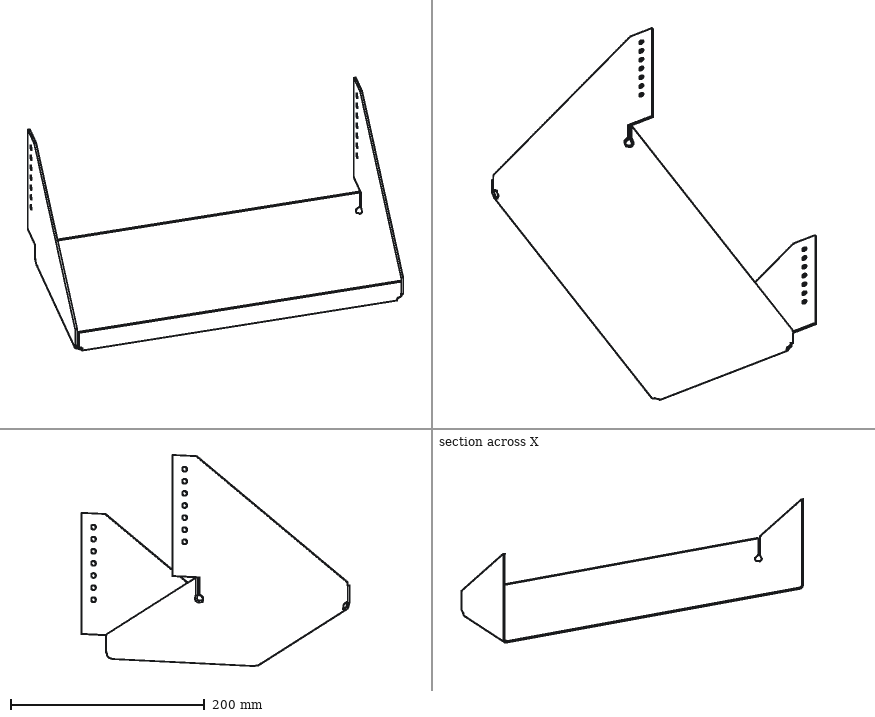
import cadquery as cq
import math

length_x = 190.5
width_y = 351.03
height_z = 152.4

thickness = 2.28
inner_radius = thickness
outer_radius = thickness + inner_radius
neutral_factor = 0.44

lip_height = 25.4
tab_length = 25.4
plate_end_height = 28.0
corner_gap = 0.95

hole_diameter = 5.11
hole_count = 7
hole_pitch = 12.7
hole_edge_x = tab_length / 2
top_hole_drop = 14.3

relief_radius = 5.3
half_bend_length = math.pi / 4 * (inner_radius + neutral_factor * thickness)
relief_centre = outer_radius - half_bend_length
relief_bend_reach = relief_centre + relief_radius

tray_left = tab_length
tray_right = length_x
tray_length = tray_right - tray_left
tray_centre_x = (tray_left + tray_right) / 2
half_width = width_y / 2
wall_setback = thickness + corner_gap


def turn_to_plate(shape):
    """Swap X and Y, so a wall facing -X becomes a wall facing -Y."""
    return shape.rotate((0, 0, 0), (0, 0, 1), 90).mirror("YZ")


def bent_wall(run, wall_height):
    """Quarter bend and upright wall with its outer face on x = 0, running along Y and centred."""
    profile = (
        cq.Workplane("XZ")
        .moveTo(outer_radius, 0)
        .radiusArc((0, outer_radius), outer_radius)
        .lineTo(0, wall_height)
        .lineTo(thickness, wall_height)
        .lineTo(thickness, outer_radius)
        .radiusArc((outer_radius, thickness), -inner_radius)
        .close()
    )
    return profile.extrude(run / 2, both=True)


def relief_cutter():
    """Corner relief for a wall on x = 0 that ends at y = 0: square through the bend, round in the wall."""
    bend_cut = cq.Workplane("XY").box(outer_radius, relief_bend_reach, outer_radius, centered=False)
    wall_cut = (
        cq.Workplane("YZ")
        .center(relief_centre, relief_centre)
        .circle(relief_radius)
        .extrude(thickness)
    )
    return bend_cut.union(wall_cut)


def floor():
    """Flat floor between the bend lines, with the relief circles cut from its corners."""
    plate = cq.Workplane("XY").box(
        tray_length - 2 * outer_radius,
        width_y - 2 * outer_radius,
        thickness,
        centered=(True, True, False),
    )
    reliefs = (
        cq.Workplane("XY")
        .rect(tray_length - 2 * relief_centre, width_y - 2 * relief_centre, forConstruction=True)
        .vertices()
        .circle(relief_radius)
        .extrude(thickness)
    )
    return plate.cut(reliefs).translate((tray_centre_x, 0, 0))


def long_lip():
    """Lip along Y with its outer face on x = 0, relieved at both ends."""
    lip = bent_wall(width_y - 2 * wall_setback, lip_height)
    relief = relief_cutter().translate((0, -half_width, 0))
    return lip.cut(relief).cut(relief.mirror("XZ"))


def plate_blank():
    """Side plate outline in XZ, extruded toward +Y over the depth of the bend."""
    plate_left = tray_left + wall_setback
    plate_right = tray_right - wall_setback
    return (
        cq.Workplane("XZ")
        .moveTo(0, height_z)
        .lineTo(tab_length, height_z)
        .lineTo(plate_right, plate_end_height)
        .lineTo(plate_right, 0)
        .lineTo(plate_left, 0)
        .lineTo(plate_left, lip_height)
        .lineTo(0, lip_height)
        .close()
        .extrude(-outer_radius)
    )


def mounting_holes():
    """Vertical row of hole cutters through a side plate."""
    heights = [height_z - top_hole_drop - index * hole_pitch for index in range(hole_count)]
    return (
        cq.Workplane("XZ")
        .pushPoints([(hole_edge_x, height) for height in heights])
        .circle(hole_diameter / 2)
        .extrude(-thickness)
    )


def side_plate():
    """Side plate with its outer face on y = 0 and its bend toward +Y."""
    stock = turn_to_plate(bent_wall(2 * length_x, height_z))
    left_relief = turn_to_plate(relief_cutter())
    right_relief = left_relief.mirror("YZ")
    return (
        stock.intersect(plate_blank())
        .cut(mounting_holes())
        .cut(left_relief.translate((tray_left, 0, 0)))
        .cut(right_relief.translate((tray_right, 0, 0)))
    )


left_lip = long_lip().translate((tray_left, 0, 0))
right_lip = long_lip().mirror("YZ").translate((tray_right, 0, 0))
near_plate = side_plate().translate((0, -half_width, 0))
far_plate = near_plate.mirror("XZ")

result = floor().union(left_lip).union(right_lip).union(near_plate).union(far_plate)